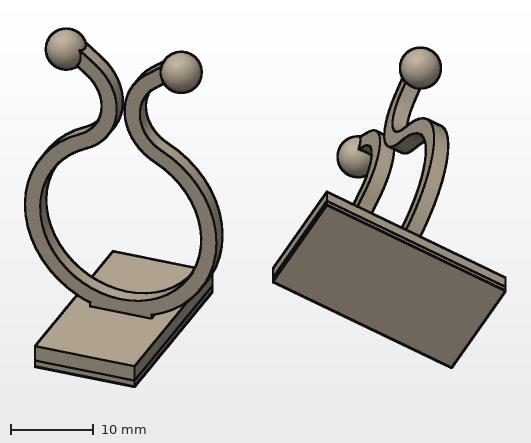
import cadquery as cq
import math

base_width = 13.0
base_length = 25.0
base_thickness = 2.0
pad_thickness = 0.8
liner_thickness = 0.1
pad_bottom = liner_thickness
base_bottom = pad_bottom + pad_thickness
base_top = base_bottom + base_thickness

strip_width = 2.0
strip_thickness = 2.0

loop_inner_radius = 10.5
loop_outer_radius = loop_inner_radius + strip_thickness
loop_height = 12.35
loop_z = base_top + loop_height

neck_gap = 1.0
neck_inner_radius = 5.0
neck_outer_radius = neck_inner_radius + strip_thickness
neck_x = neck_gap / 2 + neck_outer_radius
neck_distance = loop_outer_radius + neck_inner_radius
neck_rise = math.sqrt(neck_distance**2 - neck_x**2)
neck_z = loop_z + neck_rise
junction_angle = math.atan2(neck_rise, neck_x)

arm_start_angle = math.radians(52.5)
arm_length = 3.0
ball_radius = 2.5
ball_x = neck_x
overall_height = 39.9
ball_z = overall_height - ball_radius

foot_width = 8.0


def polar(center, radius, angle):
    """Point at a radius and angle (radians) from a centre in the XZ plane."""
    return (center[0] + radius * math.cos(angle), center[1] + radius * math.sin(angle))


def mirrored(point):
    return (-point[0], point[1])


def stack_layer(bottom, thickness):
    return (
        cq.Workplane("XY")
        .workplane(offset=bottom)
        .rect(base_width, base_length)
        .extrude(thickness)
    )


def strip_prism(outline):
    """Extrude a closed XZ outline to the strip width, centred on Y = 0."""
    return outline.extrude(strip_width / 2, both=True)


def make_loop():
    """Open ring whose ends lie on the radial lines towards the neck centres."""
    center = (0, loop_z)
    outer_end = polar(center, loop_outer_radius, junction_angle)
    inner_end = polar(center, loop_inner_radius, junction_angle)
    return strip_prism(
        cq.Workplane("XZ")
        .moveTo(*outer_end)
        .threePointArc((0, loop_z - loop_outer_radius), mirrored(outer_end))
        .lineTo(*mirrored(inner_end))
        .threePointArc((0, loop_z - loop_inner_radius), inner_end)
        .close()
    )


def make_left_arm():
    """Left neck, from the loop junction round to the end of its straight arm."""
    center = (-neck_x, neck_z)
    start_angle = -junction_angle
    middle_angle = (start_angle + arm_start_angle) / 2
    arm_x = -arm_length * math.sin(arm_start_angle)
    arm_z = arm_length * math.cos(arm_start_angle)
    tip_center = (center[0] + arm_x, center[1] + arm_z)
    return strip_prism(
        cq.Workplane("XZ")
        .moveTo(*polar(center, neck_outer_radius, start_angle))
        .threePointArc(
            polar(center, neck_outer_radius, middle_angle),
            polar(center, neck_outer_radius, arm_start_angle),
        )
        .line(arm_x, arm_z)
        .lineTo(*polar(tip_center, neck_inner_radius, arm_start_angle))
        .line(-arm_x, -arm_z)
        .threePointArc(
            polar(center, neck_inner_radius, middle_angle),
            polar(center, neck_inner_radius, start_angle),
        )
        .close()
    )


def make_foot():
    """Block under the loop, cut to the loop's inner circle."""
    bore = strip_prism(cq.Workplane("XZ").center(0, loop_z).circle(loop_inner_radius))
    top = loop_z - loop_inner_radius
    block = strip_prism(
        cq.Workplane("XZ").center(0, (base_top + top) / 2).rect(foot_width, top - base_top)
    )
    return block.cut(bore)


def make_ball():
    return cq.Workplane("XY").sphere(ball_radius).translate((-ball_x, 0, ball_z))


def make_clip():
    """Base plate, foot, loop, necks and balls as one moulded body."""
    left_side = make_left_arm().union(make_ball())
    right_side = left_side.mirror("YZ")
    return (
        stack_layer(base_bottom, base_thickness)
        .union(make_foot())
        .union(make_loop())
        .union(left_side)
        .union(right_side)
    )


clip = make_clip()
adhesive_pad = stack_layer(pad_bottom, pad_thickness)
release_liner = stack_layer(0, liner_thickness)

result = cq.Compound.makeCompound([clip.val(), adhesive_pad.val(), release_liner.val()])